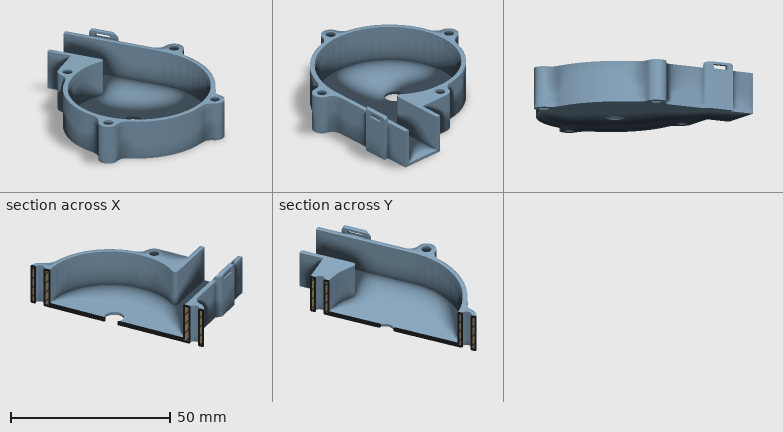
import cadquery as cq
import math


HEIGHT = 13.0
FLOOR = 1.0
WALL = 1.5

FAN_X, FAN_Y = -2.0, -2.0
SHAFT_HOLE_DIA = 6.2
SCROLL_MIN_RADIUS = 20.0
SCROLL_MAX_RADIUS = 26.0
SCROLL_START = math.radians(-180)
SCROLL_END = math.radians(90)
SCROLL_JOINTS = [math.radians(22), math.radians(-90)]

DUCT_END_X = -36.1
DUCT_WIDTH = 12.0
DUCT_TOP = FAN_Y + SCROLL_MAX_RADIUS
DUCT_BOTTOM = DUCT_TOP - DUCT_WIDTH
OUTER_TOP = DUCT_TOP + WALL
OUTER_BOTTOM = DUCT_BOTTOM - WALL
TONGUE_FILLET = 1.0

LUG_X = 25.0
LUG_Y = 27.5
LUG_RADIUS = 3.1
LUG_BLEND = 3.5
WIDE_LUG_BLEND = 5.0
SCREW_HOLE_DIA = 3.2
TOLERANCE = 1e-3
LUG_CENTRES = [(LUG_X, 0), (0, LUG_Y), (-LUG_X, 0), (0, -LUG_Y)]
BLOCK_X = -LUG_X - LUG_RADIUS

LATCH_X = BLOCK_X
LATCH_LENGTH = 10.0
LATCH_DEPTH = 1.5
LATCH_HEIGHT = 15.0
LATCH_FILLET = 1.0
WINDOW_OFFSET = 2.0
WINDOW_LENGTH = 5.0
WINDOW_BOTTOM = 12.8
WINDOW_TOP = 14.2


def scroll_point(angle, offset=0.0):
    turned = (angle - SCROLL_START) / (SCROLL_END - SCROLL_START)
    radius = SCROLL_MIN_RADIUS + turned * (SCROLL_MAX_RADIUS - SCROLL_MIN_RADIUS) + offset
    return (FAN_X + radius * math.cos(angle), FAN_Y + radius * math.sin(angle))


def add_scroll(outline, offset=0.0):
    """Continue an outline along the scroll, from the duct's +Y wall round to the -X side."""
    limits = [SCROLL_END, *SCROLL_JOINTS, SCROLL_START]
    for arc_start, arc_end in zip(limits, limits[1:]):
        middle = scroll_point((arc_start + arc_end) / 2, offset)
        end = scroll_point(arc_end, offset)
        outline = outline.threePointArc(middle, end)
    return outline


def is_lug_junction(edge):
    """True for a vertical inner corner where a lug meets the housing wall."""
    x, y = edge.Center().x, edge.Center().y
    for lug_x, lug_y in LUG_CENTRES:
        on_lug = abs(math.hypot(x - lug_x, y - lug_y) - LUG_RADIUS) < TOLERANCE
        inward = math.hypot(x, y) < math.hypot(lug_x, lug_y)
        if on_lug and inward:
            return True
    return False


def is_wide_junction(edge):
    """True for the junction on the -X side of the -Y lug."""
    return -LUG_RADIUS <= edge.Center().x < 0 and edge.Center().y < 0


def make_body():
    outline = (
        cq.Workplane("XY")
        .moveTo(DUCT_END_X, OUTER_TOP)
        .lineTo(*scroll_point(SCROLL_END, WALL))
    )
    outline = add_scroll(outline, WALL)
    body = (
        outline.lineTo(scroll_point(SCROLL_START, WALL)[0], 0)
        .lineTo(BLOCK_X, 0)
        .lineTo(BLOCK_X, OUTER_BOTTOM)
        .lineTo(DUCT_END_X, OUTER_BOTTOM)
        .close()
        .extrude(HEIGHT)
    )
    lugs = cq.Workplane("XY").pushPoints(LUG_CENTRES).circle(LUG_RADIUS).extrude(HEIGHT)
    body = body.union(lugs)
    junctions = [edge for edge in body.edges("|Z").vals() if is_lug_junction(edge)]
    wide = [edge for edge in junctions if is_wide_junction(edge)]
    regular = [edge for edge in junctions if not is_wide_junction(edge)]
    blended = body.val().fillet(LUG_BLEND, regular).fillet(WIDE_LUG_BLEND, wide)
    return cq.Workplane("XY").add(blended)


def make_cavity():
    """Fan chamber and duct; a constant-radius arc leads from the scroll to the tongue."""
    tip_rise = DUCT_BOTTOM - FAN_Y
    tip_angle = math.pi - math.asin(tip_rise / SCROLL_MIN_RADIUS)
    mid_angle = (tip_angle + math.pi) / 2
    tip = (FAN_X + SCROLL_MIN_RADIUS * math.cos(tip_angle), DUCT_BOTTOM)
    arc_middle = (
        FAN_X + SCROLL_MIN_RADIUS * math.cos(mid_angle),
        FAN_Y + SCROLL_MIN_RADIUS * math.sin(mid_angle),
    )
    outline = (
        cq.Workplane("XY", origin=(0, 0, FLOOR))
        .moveTo(DUCT_END_X, DUCT_TOP)
        .lineTo(*scroll_point(SCROLL_END))
    )
    return (
        add_scroll(outline)
        .threePointArc(arc_middle, tip)
        .lineTo(DUCT_END_X, DUCT_BOTTOM)
        .close()
        .extrude(HEIGHT - FLOOR)
        .edges(cq.selectors.NearestToPointSelector((tip[0], tip[1], (FLOOR + HEIGHT) / 2)))
        .fillet(TONGUE_FILLET)
    )


def make_latch():
    """Upright loop whose +X end slopes back to the wall at 45 degrees."""
    latch_end = LATCH_X + LATCH_LENGTH
    latch_back = OUTER_TOP + LATCH_DEPTH
    latch = (
        cq.Workplane("XY")
        .moveTo(LATCH_X, OUTER_TOP)
        .lineTo(latch_end, OUTER_TOP)
        .lineTo(latch_end - LATCH_DEPTH, latch_back)
        .lineTo(LATCH_X, latch_back)
        .close()
        .extrude(LATCH_HEIGHT)
    )
    latch = latch.faces(">Z").edges("not #Y").fillet(LATCH_FILLET)
    window = cq.Workplane("XY").box(
        WINDOW_LENGTH, LATCH_DEPTH, WINDOW_TOP - WINDOW_BOTTOM, centered=False
    )
    return latch.cut(window.translate((LATCH_X + WINDOW_OFFSET, OUTER_TOP, WINDOW_BOTTOM)))


def drill(part, centres, diameter):
    holes = cq.Workplane("XY").pushPoints(centres).circle(diameter / 2).extrude(HEIGHT)
    return part.cut(holes)


result = make_body().cut(make_cavity())
result = drill(result, LUG_CENTRES, SCREW_HOLE_DIA)
result = drill(result, [(FAN_X, FAN_Y)], SHAFT_HOLE_DIA)
result = result.union(make_latch())